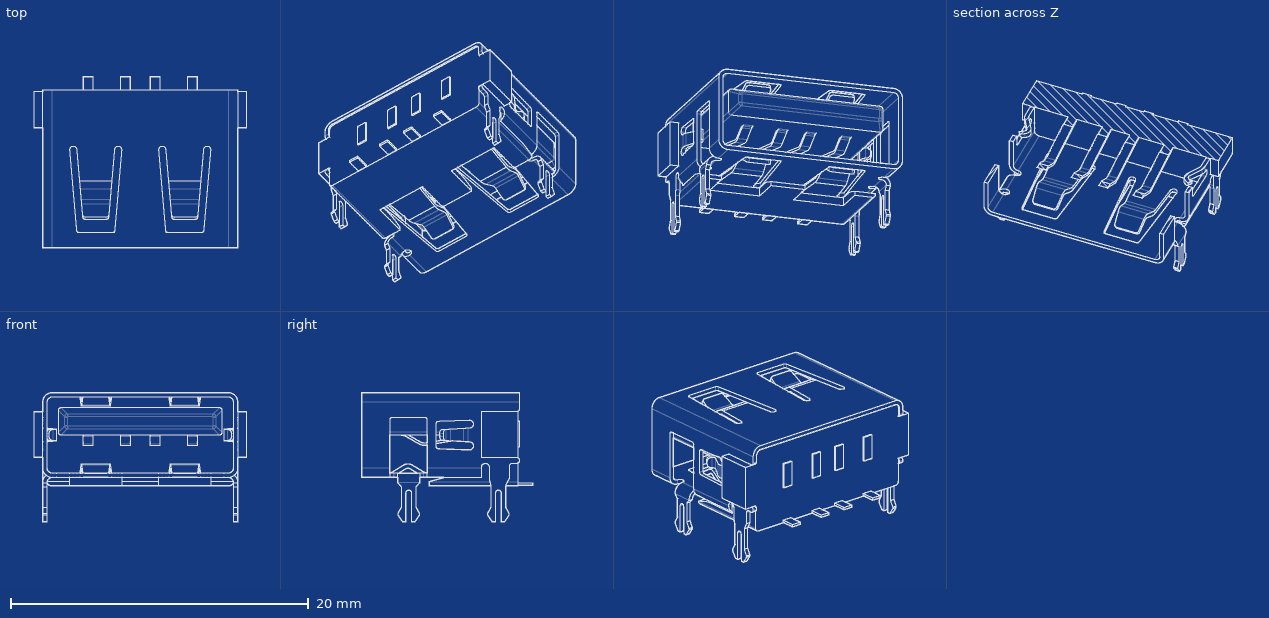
import cadquery as cq
import math


sheet = 0.3
shell_width = 13.11
shell_height = 5.7
shell_depth = 10.61
inner_radius = 0.35
outer_radius = inner_radius + sheet
half_width = shell_width / 2
inner_half = half_width - sheet
mid_height = shell_height / 2
through = 2.86

back_start = 8.05
insulator_back = 10.51
arm_bottom = 0.95
arm_round = 0.2

overall_width = 14.3
ear_bottom = 1.36
ear_top = 4.42
base_front = 4.53
base_bottom = -0.56
base_round = 0.26
nose_top = -0.27
nose_slope_back = 5.53
base_recess_back = 6.82

tongue_width = 11.01
tongue_bottom = 2.85
tongue_top = 4.69
tongue_front = 0.0
tongue_bevel_length = 1.02
tongue_bevel_inset = 0.47
tongue_edge_round = 0.2
tongue_front_round = 0.21

contact_centres = (-3.5, -1.0, 1.0, 3.5)
contact_width = 0.67
contact_thickness = 0.17
contact_end = 11.5
tail_top = -0.36
contact_bend_radii = (0.72, 0.72)
pad_bottom = 2.05
pad_top = 3.79

grip_centre = 2.99

leg_bottom = -2.99
leg_half = 0.5
leg_slot_half = 0.19
leg_slot_top = -0.86
barb_half = 0.73
barb_foot_half = 0.41
barb_start = -2.0
barb_low = -2.52
barb_high = -2.42
back_leg_y = 9.18
front_leg_y = 3.16
front_leg_window = (1.9, 4.39)
front_leg_window_top = 4.03
front_tab_half = 0.75
relief_depth = 0.29


def box(x_range, y_range, z_range):
    """Box between the given limits."""
    size = [high - low for low, high in (x_range, y_range, z_range)]
    corner = (x_range[0], y_range[0], z_range[0])
    return cq.Workplane("XY").box(*size, centered=False).translate(corner)


def bent_strip(points, radii, width, thickness):
    """Strip centred on X = 0 whose middle line follows (y, z) points, with a radius at each bend."""
    corners = [cq.Vector(0, y, z) for y, z in points]
    path = cq.Wire.makePolygon(corners)
    for corner, radius in zip(corners[1:-1], radii):
        bend = min(path.Vertices(), key=lambda vertex: (vertex.Center() - corner).Length)
        path = path.fillet2D(radius, [bend])
    start = cq.Plane(origin=corners[0], xDir=(1, 0, 0), normal=corners[1] - corners[0])
    return cq.Workplane(start).rect(width, thickness).sweep(cq.Workplane(path))


def mirrored_pair(shape):
    """The shape and its mirror image across the middle plane X = 0."""
    return shape, shape.mirror("YZ")


def trapezoid(half_front, half_back, front, back):
    """Plan outline symmetric about X = 0, extruded through the sheet on both sides of Z = 0."""
    points = [(-half_front, front), (half_front, front), (half_back, back), (-half_back, back)]
    return cq.Workplane("XY").polyline(points).close().extrude(through / 2, both=True)


def spring_window(window, blade, hinge):
    """U-shaped opening around a blade; it is fully open in front of the blade's hinge."""
    flat_blade = trapezoid(*blade).intersect(
        box((-through, through), (hinge, shell_depth), (-through, through)))
    opening = trapezoid(*window).cut(flat_blade)
    leg_round = 0.98 * (window[1] - blade[1]) / 2
    opening = opening.faces(">Y").edges("|Z").fillet(leg_round)
    return opening.faces("<Y").edges("|Z").fillet(0.16)


def spring_blade(blade, bends, radii, tip, tip_round):
    """Strip that leaves the wall, dips inward and turns back out; bends and tip are (y, z) points."""
    points = [(bends[0][0] + 0.57, bends[0][1])] + bends + [tip]
    strip = bent_strip(points, radii, 2 * blade[1], sheet).intersect(trapezoid(*blade))
    tip_corners = cq.Workplane("XY")
    for x in (-blade[0], blade[0]):
        tip_corners = tip_corners.add(strip.edges(cq.selectors.NearestToPointSelector((x, *tip))))
    return strip.newObject(tip_corners.vals()).fillet(tip_round)


grip_window = (1.27, 1.77, 1.03, 6.82)
grip_blade = (0.86, 1.29, 1.86, 6.82)
side_window = (0.92, 1.0, 5.0, 7.51)
side_blade = (0.35, 0.49, 5.15, 7.51)

wall_middle = -sheet / 2
grip_opening = spring_window(grip_window, grip_blade, 4.49)
grip_spring = spring_blade(grip_blade, [(4.25, wall_middle), (3.1, -0.85)], (0.92, 0.43), (1.99, wall_middle), 0.2)
side_opening = spring_window(side_window, side_blade, 7.15)
side_spring = spring_blade(side_blade, [(7.0, wall_middle), (5.73, -0.922)], (0.43, 0.36), (5.36, -0.35), 0.27)


def on_all_walls(grip_shape, side_shape):
    """Copies of the spring shapes on the top, the floor and both side walls."""
    copies = []
    on_side = side_shape.rotate((0, 0, 0), (0, 1, 0), -90).translate((-half_width, 0, mid_height))
    copies.extend(mirrored_pair(on_side))
    for x in (-grip_centre, grip_centre):
        copies.append(grip_shape.translate((x, 0, shell_height)))
        copies.append(grip_shape.mirror("XY").translate((x, 0, 0)))
    return copies


def leg_blade(centre, front_root, back_root):
    """Split, barbed leg in the left wall; the roots list its (y, z) edge points from the top down."""
    def barb(direction):
        steps = [(leg_half, barb_start), (barb_half, barb_high), (barb_half, barb_low),
                 (barb_foot_half, leg_bottom)]
        return [(centre + direction * offset, z) for offset, z in steps]

    outline = front_root + barb(-1) + barb(1)[::-1] + back_root[::-1]
    leg = cq.Workplane("YZ", origin=(-half_width, 0, 0)).polyline(outline).close().extrude(sheet)
    slot_straight_top = leg_slot_top - leg_slot_half
    slot = box((-half_width, -inner_half), (centre - leg_slot_half, centre + leg_slot_half),
               (leg_bottom - 0.15, slot_straight_top))
    slot_end = (cq.Workplane("YZ", origin=(-half_width, centre, slot_straight_top))
                .circle(leg_slot_half).extrude(sheet))
    return leg.cut(slot).cut(slot_end)


def back_leg():
    """Straight leg below the arm at the back of the side wall."""
    front_root = [(8.58, arm_bottom + 0.15), (8.58, -0.15), (back_leg_y - leg_half, -0.51)]
    back_root = [(9.92, arm_bottom + 0.15), (9.92, -0.06), (back_leg_y + leg_half, -0.51)]
    return leg_blade(back_leg_y, front_root, back_root)


def front_leg():
    """Leg on a tab of the floor that is bent down into the plane of the side wall."""
    bend_end = sheet - outer_radius
    shoulder = bend_end - 0.29
    front_root = [(front_leg_y - front_tab_half, bend_end), (front_leg_y - leg_half, shoulder)]
    back_root = [(front_leg_y + front_tab_half, bend_end), (front_leg_y + leg_half, shoulder)]
    tab_start = half_width - outer_radius - relief_depth
    leg_middle = half_width - sheet / 2
    tab_path = [(tab_start, sheet / 2), (leg_middle, sheet / 2), (leg_middle, bend_end - 0.01)]
    bend_radius = outer_radius - sheet / 2
    tab = bent_strip(tab_path, [bend_radius], 2 * front_tab_half, sheet)
    tab = tab.rotate((0, 0, 0), (0, 0, 1), 90).translate((0, front_leg_y, 0))
    return tab.union(leg_blade(front_leg_y, front_root, back_root))


def front_leg_opening():
    """Side-wall window above the front leg, with round relief notches beside its tab."""
    floor_edge = half_width - outer_radius
    opening = box((-half_width - 0.15, -floor_edge), front_leg_window, (-0.15, front_leg_window_top))
    opening = opening.faces(">Z").edges("|X").fillet(0.16)
    window_front, window_back = front_leg_window
    reliefs = ((window_front, front_leg_y - front_tab_half), (front_leg_y + front_tab_half, window_back))
    for relief in reliefs:
        notch = box((-floor_edge - 0.15, relief_depth - floor_edge), relief, (-0.15, sheet + 0.15))
        full_round = 0.49 * (relief[1] - relief[0])
        opening = opening.union(notch.faces(">X").edges("|Z").fillet(full_round))
    return opening


def build_shell():
    outside = box((-half_width, half_width), (0, shell_depth), (0, shell_height))
    inside = box((-inner_half, inner_half), (0, shell_depth), (sheet, shell_height - sheet))
    shell = outside.edges("|Y").fillet(outer_radius).cut(inside.edges("|Y").fillet(inner_radius))

    all_across = (-half_width, half_width)
    shell = shell.cut(box(all_across, (back_start, shell_depth), (0, arm_bottom)))
    shell = shell.cut(box(all_across, (back_start, shell_depth), (ear_bottom, ear_top)))
    notch_rims = cq.selectors.BoxSelector(
        (-half_width - 0.15, shell_depth - 0.15, arm_bottom - 0.15), (half_width + 0.15, shell_depth + 0.15, ear_top + 0.15))
    shell = shell.edges("|X").edges(notch_rims).fillet(arm_round)

    for leg in mirrored_pair(back_leg()):
        shell = shell.union(leg)
    for root_y, root_round in ((8.315, 0.26), (9.92, 0.17)):
        root = cq.selectors.BoxSelector((-half_width - 0.15, root_y - 0.29, arm_bottom - 0.01),
                                        (half_width + 0.15, root_y + 0.29, arm_bottom + 0.01))
        shell = shell.edges("|X").edges(root).fillet(root_round)

    for opening in on_all_walls(grip_opening, side_opening):
        shell = shell.cut(opening)
    for spring in on_all_walls(grip_spring, side_spring):
        shell = shell.union(spring)
    for opening in mirrored_pair(front_leg_opening()):
        shell = shell.cut(opening)
    for leg in mirrored_pair(front_leg()):
        shell = shell.union(leg)
    return shell


def insulator_core():
    """Back wall with a low base that runs forward under the shell floor."""
    inside_top = shell_height - sheet
    profile = [(base_front, base_bottom), (insulator_back, base_bottom), (insulator_back, inside_top),
               (back_start, inside_top), (back_start, 0), (nose_slope_back, 0), (base_front, nose_top)]
    core = cq.Workplane("YZ").polyline(profile).close().extrude(inner_half, both=True)
    core = core.faces(">Z").edges("|Y").fillet(inner_radius)
    core = core.faces("<Z").edges("|Y").fillet(base_round)
    recess_half = grip_window[1]
    for x in (-grip_centre, grip_centre):
        core = core.cut(box((x - recess_half, x + recess_half), (base_front, base_recess_back), (base_bottom, 0)))
    return core


def tongue():
    """Flat tongue with a bevelled and rounded front."""
    height = tongue_top - tongue_bottom
    bevel_back = tongue_front + tongue_bevel_length
    bevel_angle = math.degrees(math.atan2(tongue_bevel_inset, tongue_bevel_length))
    middle_z = (tongue_top + tongue_bottom) / 2
    body = box((-tongue_width / 2, tongue_width / 2), (bevel_back, back_start + 0.15), (tongue_bottom, tongue_top))
    bevel = (cq.Workplane("XZ", origin=(0, bevel_back, middle_z)).rect(tongue_width, height)
             .extrude(tongue_bevel_length, taper=bevel_angle))
    body = body.union(bevel)
    corner_edges = body.edges("not(#Y)")
    body = corner_edges.fillet(tongue_edge_round)
    return body.faces("<Y").edges().fillet(tongue_front_round)


def contact():
    """Spring contact under the tongue, its pad on the back wall and its solder tail."""
    spring_path = [(back_start + 0.15, 2.9), (4.1, 2.2), (2.93, 2.87), (2.43, 2.97)]
    half = contact_width / 2
    spring = bent_strip(spring_path, contact_bend_radii, contact_width, contact_thickness)
    pad = box((-half, half), (insulator_back, shell_depth), (pad_bottom, pad_top))
    tail = box((-half, half), (insulator_back, contact_end), (tail_top - contact_thickness, tail_top))
    return spring, pad, tail


def build_insulator():
    ears = box((-overall_width / 2, overall_width / 2), (back_start, insulator_back), (ear_bottom, ear_top))
    insulator = insulator_core().union(ears).union(tongue())
    for x in contact_centres:
        for piece in contact():
            insulator = insulator.union(piece.translate((x, 0, 0)))
    return insulator


shell = build_shell()
insulator = build_insulator()
result = cq.Compound.makeCompound([shell.val(), insulator.val()])